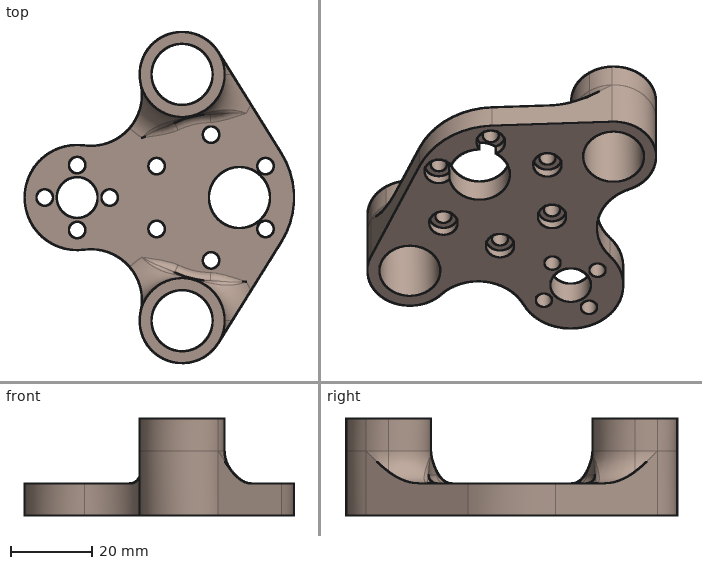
import cadquery as cq
import math

plate_thickness = 8.0
hub_radius = 13.0
motor_x = 33.0
motor_clearance = 20.5
neck_radius = 12.5

tube_x = 25.86
tube_y = 30.36
tube_radius = 10.5
tube_bore = 15.0
tube_height = 24.0
skirt_radius = 8.0
relief_radius = 2.0

flange_radius = 25.0
slab_size = 140.0

hub_bore = 10.0
hub_screw_circle_radius = 8.0
hub_screw_count = 4
shaft_offset = 7.0
shaft_bore = 15.0
motor_screw_circle_radius = 15.5
motor_screw_count = 6
motor_screw_start_angle = 30.0
screw_hole = 4.0
motor_head_bore = 7.0
motor_head_depth = 3.0

hub_center = (0.0, 0.0)
motor_center = (motor_x, 0.0)
shaft_center = (motor_x + shaft_offset, 0.0)
tube_centers = [(tube_x, tube_y), (tube_x, -tube_y)]


def polar(center, radius, angle):
    """Point at the given radius and angle (radians) around a centre."""
    return (center[0] + radius * math.cos(angle), center[1] + radius * math.sin(angle))


def direction(start, end):
    """Angle (radians) of the line from start to end."""
    return math.atan2(end[1] - start[1], end[0] - start[0])


def flipped(point):
    """Mirror image of a point across the X axis."""
    return (point[0], -point[1])


def neck_center(hub, tube):
    """Centre of the arc that touches the hub and the tube from outside."""
    hub_reach = hub_radius + neck_radius
    tube_reach = tube_radius + neck_radius
    span = math.dist(hub, tube)
    cosine = (hub_reach**2 + span**2 - tube_reach**2) / (2 * hub_reach * span)
    return polar(hub, hub_reach, direction(hub, tube) + math.acos(cosine))


def make_outline():
    """Closed outline: hub, concave necks, tubes, straight flanks and motor end."""
    hub = hub_center
    motor = motor_center
    tube = (tube_x, tube_y)
    neck = neck_center(hub, tube)

    radius_gain = motor_clearance - tube_radius
    flank_normal = direction(tube, motor) + math.acos(-radius_gain / math.dist(tube, motor))
    hub_end = polar(hub, hub_radius, direction(hub, neck))
    neck_mid = polar(neck, neck_radius, (direction(neck, hub) + direction(neck, tube)) / 2)
    tube_start = polar(tube, tube_radius, direction(tube, neck))
    tube_top = (tube_x, tube_y + tube_radius)
    tube_end = polar(tube, tube_radius, flank_normal)
    motor_start = polar(motor, motor_clearance, flank_normal)

    return (
        cq.Workplane("XY")
        .moveTo(*hub_end)
        .threePointArc(neck_mid, tube_start)
        .threePointArc(tube_top, tube_end)
        .lineTo(*motor_start)
        .threePointArc((motor_x + motor_clearance, 0), flipped(motor_start))
        .lineTo(*flipped(tube_end))
        .threePointArc(flipped(tube_top), flipped(tube_start))
        .threePointArc(flipped(neck_mid), flipped(hub_end))
        .threePointArc((-hub_radius, 0), hub_end)
        .close()
    )


def make_flared_tube():
    """Solid of revolution: a tube blank flaring through its skirt into a flat flange."""
    skirt_top = plate_thickness + skirt_radius
    skirt_foot = tube_radius + skirt_radius
    arc_inset = skirt_radius * (1 - math.sqrt(0.5))
    return (
        cq.Workplane("XZ")
        .lineTo(flange_radius, 0)
        .lineTo(flange_radius, plate_thickness)
        .lineTo(skirt_foot, plate_thickness)
        .threePointArc((tube_radius + arc_inset, plate_thickness + arc_inset), (tube_radius, skirt_top))
        .lineTo(tube_radius, tube_height)
        .lineTo(0, tube_height)
        .close()
        .revolve(360, (0, 0, 0), (0, 1, 0))
        .translate((tube_x, tube_y, 0))
    )


def fillet_edges(body, radius, is_wanted):
    """Round every edge that passes the test."""
    edges = [edge for edge in body.edges().vals() if is_wanted(edge)]
    return body.newObject(edges).fillet(radius)


def make_tubes_on_slab():
    """Both flared tubes on an oversized slab, cut back and rounded around the motor."""
    tolerance = 0.01
    sample_fractions = [0, 0.3, 0.6, 1]

    def motor_distance(point):
        return math.hypot(point.x - motor_x, point.y)

    def is_relief_rim(edge):
        samples = edge.positions(sample_fractions)
        on_wall = all(abs(motor_distance(p) - motor_clearance) < tolerance for p in samples)
        return on_wall and min(p.z for p in samples) > plate_thickness - tolerance

    def is_relief_corner(edge):
        samples = edge.positions(sample_fractions)
        on_plate = all(abs(p.z - plate_thickness) < tolerance for p in samples)
        near_wall = motor_distance(edge.Center()) < motor_clearance + relief_radius
        return on_plate and near_wall

    motor_space = cq.Workplane("XY", origin=(motor_x, 0, 0)).circle(motor_clearance).extrude(tube_height)
    slab = cq.Workplane("XY").rect(slab_size, slab_size).extrude(plate_thickness)
    relieved = fillet_edges(make_flared_tube().cut(motor_space), relief_radius, is_relief_rim)
    stock = slab.union(relieved).union(relieved.mirror("XZ"))
    return fillet_edges(stock, relief_radius, is_relief_corner)


def make_body():
    """Plate with both tubes, trimmed to the outline."""
    return make_outline().extrude(tube_height).intersect(make_tubes_on_slab(), clean=False)


def drill(body, points, diameter, depth=tube_height):
    """Round holes from the underside; by default they pass through the whole part."""
    holes = cq.Workplane("XY").pushPoints(points).circle(diameter / 2).extrude(depth)
    return body.cut(holes, clean=False)


def screw_circle(center, radius, count, start_angle=0.0):
    """Evenly spaced points on a circle; the start angle is in degrees."""
    start = math.radians(start_angle)
    return [polar(center, radius, start + 2 * math.pi * i / count) for i in range(count)]


hub_screws = screw_circle(hub_center, hub_screw_circle_radius, hub_screw_count)
motor_screws = screw_circle(
    motor_center, motor_screw_circle_radius, motor_screw_count, motor_screw_start_angle
)

result = make_body()
result = drill(result, [hub_center], hub_bore)
result = drill(result, [shaft_center], shaft_bore)
result = drill(result, tube_centers, tube_bore)
result = drill(result, hub_screws + motor_screws, screw_hole)
result = drill(result, motor_screws, motor_head_bore, motor_head_depth)